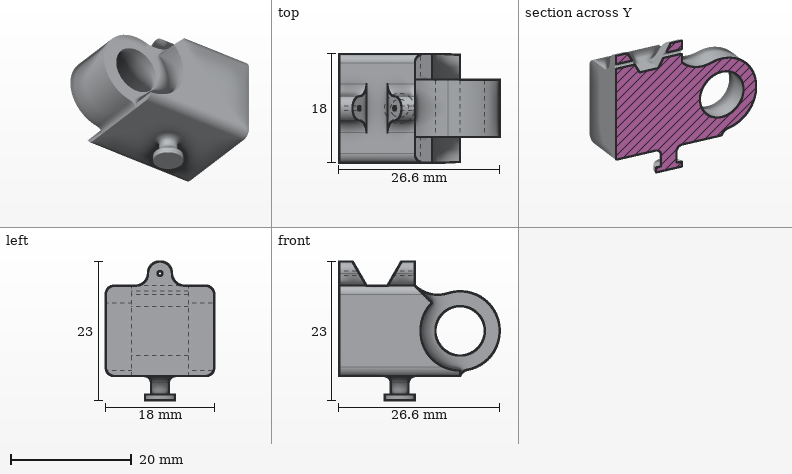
import cadquery as cq
import math

block_length = 20.0
block_width = 18.0
block_height = 15.0
block_edge_radius = 1.5
flat_top_length = 12.5

bore_diameter = 8.14
ring_wall = 2.5
ring_width = 9.5
upper_blend_radius = 5.5
lower_blend_radius = 1.5
ring_radius = bore_diameter / 2 + ring_wall
ring_x = block_length
ring_z = block_height / 2

lug_radius = 2.0
lug_root_radius = 2.0
lug_axis_height = 2.0
lug_height = lug_axis_height + lug_radius
lug_hole_diameter = 0.75
lug_base_length = 4.5
lug_slope_angle = 60.0
lug_setback = lug_height / math.tan(math.radians(lug_slope_angle))

pin_x = block_length / 2
pin_diameter = 3.0
pin_root_radius = 1.0
pin_length = 4.0
head_diameter = 5.0
head_thickness = 1.0


def xz_plane(half_width):
    """Sketch plane for shapes extruded along +Y, starting at Y = -half_width."""
    return cq.Workplane("XZ", origin=(0, -half_width, 0))


def cylinder_along_y(radius, width):
    return xz_plane(width / 2).center(ring_x, ring_z).circle(radius).extrude(-width)


def make_block():
    block = cq.Workplane("XY").box(block_length, block_width, block_height, centered=(False, True, False))
    block = block.edges("|X").fillet(block_edge_radius)

    ring_diagonal = ring_radius * math.sin(math.radians(45))
    slope_end = (ring_x - ring_diagonal, ring_z + ring_diagonal)
    corner_cut = (
        xz_plane(block_width / 2)
        .moveTo(flat_top_length, block_height)
        .lineTo(*slope_end)
        .lineTo(ring_x, ring_z)
        .lineTo(block_length, block_height)
        .close()
        .extrude(-block_width)
    )
    return block.cut(corner_cut).cut(cylinder_along_y(ring_radius, block_width))


def touch_point(start, radius, turn):
    """End on the ring of an arc that leaves the start point and touches the ring from outside.

    The arc centre lies to the left (turn = 1) or right (turn = -1) of the ray from ring axis to start.
    """
    run = start[0] - ring_x
    rise = start[1] - ring_z
    start_distance = math.hypot(run, rise)
    center_distance = ring_radius + radius
    cosine = (center_distance**2 + start_distance**2 - radius**2) / (2 * center_distance * start_distance)
    angle = math.atan2(rise, run) + turn * math.acos(cosine)
    return (ring_x + ring_radius * math.cos(angle), ring_z + ring_radius * math.sin(angle))


def make_ring():
    """Ring with concave arcs blending it into the top edge and the lower end edge of the block."""
    top_start = (flat_top_length, block_height)
    lower_start = (block_length, 0)
    web = (
        xz_plane(ring_width / 2)
        .moveTo(*top_start)
        .radiusArc(touch_point(top_start, upper_blend_radius, -1), -upper_blend_radius)
        .lineTo(ring_x, ring_z)
        .lineTo(*touch_point(lower_start, lower_blend_radius, 1))
        .radiusArc(lower_start, -lower_blend_radius)
        .lineTo(flat_top_length, 0)
        .close()
        .extrude(-ring_width)
    )
    return cylinder_along_y(ring_radius, ring_width).union(web)


def make_lug(outer_x, direction):
    """Lug with an upright face at outer_x, reaching towards +X or -X (direction 1 or -1)."""
    axis_z = block_height + lug_axis_height
    foot_y = lug_radius + lug_root_radius
    start_x = min(outer_x, outer_x + direction * lug_base_length)
    profile = (
        cq.Workplane("YZ", origin=(start_x, 0, 0))
        .moveTo(-foot_y, block_height)
        .radiusArc((-lug_radius, axis_z), -lug_root_radius)
        .threePointArc((0, axis_z + lug_radius), (lug_radius, axis_z))
        .radiusArc((foot_y, block_height), -lug_root_radius)
        .close()
        .extrude(lug_base_length)
    )
    side = (
        xz_plane(foot_y)
        .moveTo(outer_x, block_height)
        .lineTo(outer_x + direction * lug_base_length, block_height)
        .lineTo(outer_x + direction * (lug_base_length - lug_setback), block_height + lug_height)
        .lineTo(outer_x, block_height + lug_height)
        .close()
        .extrude(-2 * foot_y)
    )
    hole = (
        cq.Workplane("YZ", origin=(start_x, 0, axis_z))
        .circle(lug_hole_diameter / 2)
        .extrude(lug_base_length)
    )
    return profile.intersect(side).cut(hole)


def make_pin():
    shank_radius = pin_diameter / 2
    head_radius = head_diameter / 2
    head_top = head_thickness - pin_length
    return (
        cq.Workplane("XZ", origin=(pin_x, 0, 0))
        .lineTo(shank_radius + pin_root_radius, 0)
        .radiusArc((shank_radius, -pin_root_radius), -pin_root_radius)
        .lineTo(shank_radius, head_top)
        .lineTo(head_radius, head_top)
        .lineTo(head_radius, -pin_length)
        .lineTo(0, -pin_length)
        .close()
        .revolve(360, (0, 0, 0), (0, 1, 0))
    )


body = make_block().union(make_ring())
body = body.cut(cylinder_along_y(bore_diameter / 2, block_width))
for outer_x, direction in ((0, 1), (flat_top_length, -1)):
    body = body.union(make_lug(outer_x, direction))
result = body.union(make_pin())